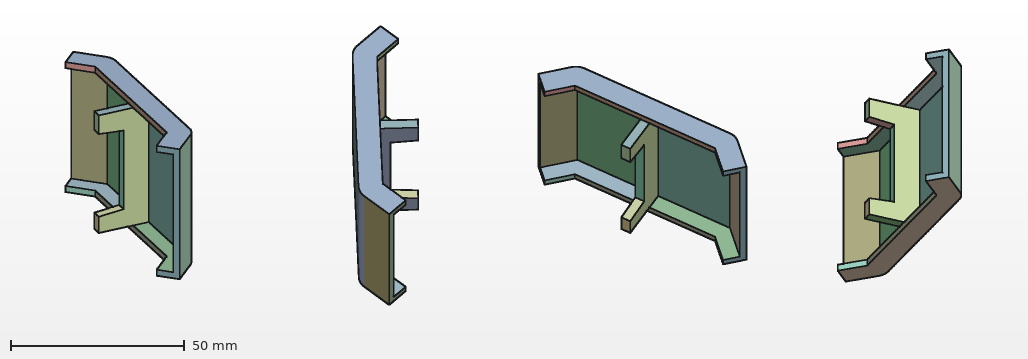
import cadquery as cq
import math

SIZE = 49.0
HEIGHT = 42.0
DEPTH = 7.0
ARM_LENGTH = 9.0
BACK_WALL = 2.0
INNER_HEIGHT = 38.0
CORNER_RADIUS = 5.0

RIB_THICKNESS = 3.0
RIB_PROJECTION = 16.0

NOTCH_DEPTH = 8.0
NOTCH_MOUTH = 26.7
NOTCH_ROOT = 25.4
NOTCH_CENTER_Z = 20.65

END_WALL = (HEIGHT - INNER_HEIGHT) / 2

RIM_SUM = SIZE - DEPTH + ARM_LENGTH


def tray_profile(back_offset, base_z):
    """Bent strip between the open rim and a back face back_offset behind it."""
    rim = SIZE - DEPTH
    back = rim + back_offset
    back_bend = RIM_SUM + back_offset * math.sqrt(2) - back
    return (
        cq.Workplane("XY", origin=(0, 0, base_z))
        .moveTo(0, rim)
        .lineTo(0, back)
        .lineTo(back_bend, back)
        .lineTo(back, back_bend)
        .lineTo(back, 0)
        .lineTo(rim, 0)
        .lineTo(rim, ARM_LENGTH)
        .lineTo(ARM_LENGTH, rim)
        .close()
    )


def make_tray():
    bend = RIM_SUM + DEPTH * math.sqrt(2) - SIZE
    shell = tray_profile(DEPTH, 0).extrude(HEIGHT)
    for x, y in ((bend, SIZE), (SIZE, bend)):
        corner = cq.selectors.NearestToPointSelector((x, y, HEIGHT / 2))
        shell = shell.edges("|Z").edges(corner).fillet(CORNER_RADIUS)
    cavity = tray_profile(DEPTH - BACK_WALL, END_WALL).extrude(INNER_HEIGHT)
    return shell.cut(cavity)


def make_rib():
    """Notched plate standing on the back wall, in the plane x = y."""
    floor_xy = (RIM_SUM + (DEPTH - BACK_WALL) * math.sqrt(2)) / 2
    rib_plane = cq.Plane(origin=(floor_xy, floor_xy, 0), xDir=(-1, -1, 0), normal=(-1, 1, 0))
    notch_floor = RIB_PROJECTION - NOTCH_DEPTH
    top = HEIGHT - END_WALL
    embed = -BACK_WALL / 2
    return (
        cq.Workplane(rib_plane)
        .moveTo(embed, END_WALL)
        .lineTo(RIB_PROJECTION, END_WALL)
        .lineTo(RIB_PROJECTION, NOTCH_CENTER_Z - NOTCH_MOUTH / 2)
        .lineTo(notch_floor, NOTCH_CENTER_Z - NOTCH_ROOT / 2)
        .lineTo(notch_floor, NOTCH_CENTER_Z + NOTCH_ROOT / 2)
        .lineTo(RIB_PROJECTION, NOTCH_CENTER_Z + NOTCH_MOUTH / 2)
        .lineTo(RIB_PROJECTION, top)
        .lineTo(embed, top)
        .close()
        .extrude(RIB_THICKNESS / 2, both=True)
    )


result = make_tray().union(make_rib())